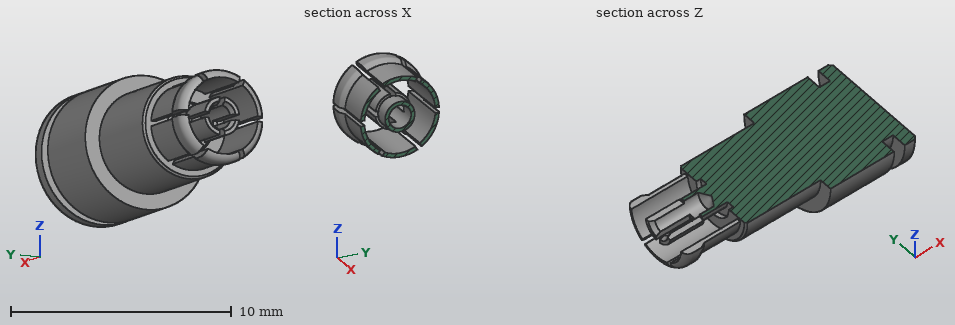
import cadquery as cq
import math


barrel_start = 3.3
barrel_radius = 2.37
barrel_chamfer = 0.1
collar_start = 7.7
collar_radius = 3.09
groove_start = 11.44
groove_end = 12.05
groove_radius = 2.25
total_length = 12.81
rear_chamfer = 0.15

sleeve_bore_radius = 1.77
sleeve_radius = 1.99
lip_front_fillet = 0.38
lip_radius = sleeve_bore_radius + lip_front_fillet
lip_flat_end = 0.83
lip_blend_radius = 0.22
lip_slope_angle = math.radians(28)
sleeve_slot_count = 6
sleeve_slot_width = 0.24

recess_radius = 1.15
recess_depth = 0.25

contact_start = 0.1
contact_slot_end = 2.09
contact_head_radius = 0.88
contact_shank_radius = 0.75
contact_bore_radius = 0.55
contact_mouth_radius = 0.69
contact_mouth_depth = 0.25
contact_bore_depth = 2.82
contact_cone_angle = math.radians(59)
contact_slot_count = 4
contact_slot_width = 0.27


def turn(profile):
    """Revolve a closed (X, radius) profile about the X axis."""
    return profile.close().revolve(360, (0, 0, 0), (1, 0, 0))


def radial_slots(count, width, start, end, reach):
    """Evenly spaced slots cut from the axis outwards, the first along +Y."""
    slots = cq.Workplane("XY")
    for index in range(count):
        slot = cq.Workplane("XY").box(end - start, reach, width, centered=(False, False, True))
        slot = slot.translate((start, 0, 0))
        slots = slots.add(slot.rotate((0, 0, 0), (1, 0, 0), index * 360 / count))
    return slots.combine()


def make_body():
    profile = (
        cq.Workplane("XY")
        .moveTo(barrel_start, 0)
        .lineTo(barrel_start, barrel_radius - barrel_chamfer)
        .lineTo(barrel_start + barrel_chamfer, barrel_radius)
        .lineTo(collar_start, barrel_radius)
        .lineTo(collar_start, collar_radius)
        .lineTo(groove_start, collar_radius)
        .lineTo(groove_start, groove_radius)
        .lineTo(groove_end, groove_radius)
        .lineTo(groove_end, collar_radius)
        .lineTo(total_length - rear_chamfer, collar_radius)
        .lineTo(total_length, collar_radius - rear_chamfer)
        .lineTo(total_length, 0)
    )
    recess = cq.Workplane("YZ", origin=(barrel_start, 0, 0)).circle(recess_radius).extrude(recess_depth)
    return turn(profile).cut(recess)


def make_sleeve():
    blend_end = lip_flat_end + lip_blend_radius * math.sin(lip_slope_angle)
    blend_end_radius = lip_radius - lip_blend_radius * (1 - math.cos(lip_slope_angle))
    slope_end = blend_end + (blend_end_radius - sleeve_radius) / math.tan(lip_slope_angle)
    profile = (
        cq.Workplane("XY")
        .moveTo(0, sleeve_bore_radius)
        .radiusArc((lip_front_fillet, lip_radius), lip_front_fillet)
        .lineTo(lip_flat_end, lip_radius)
        .radiusArc((blend_end, blend_end_radius), lip_blend_radius)
        .lineTo(slope_end, sleeve_radius)
        .lineTo(barrel_start, sleeve_radius)
        .lineTo(barrel_start, sleeve_bore_radius)
    )
    slots = radial_slots(sleeve_slot_count, sleeve_slot_width, 0, barrel_start, barrel_radius)
    return turn(profile).cut(slots)


def make_contact():
    bore_end = contact_start + contact_bore_depth
    cone_tip = bore_end + contact_bore_radius / math.tan(contact_cone_angle)
    profile = (
        cq.Workplane("XY")
        .moveTo(contact_start, contact_mouth_radius)
        .lineTo(contact_start, contact_head_radius)
        .lineTo(contact_slot_end, contact_head_radius)
        .lineTo(contact_slot_end, contact_shank_radius)
        .lineTo(barrel_start + recess_depth, contact_shank_radius)
        .lineTo(barrel_start + recess_depth, 0)
        .lineTo(cone_tip, 0)
        .lineTo(bore_end, contact_bore_radius)
        .lineTo(contact_start + contact_mouth_depth, contact_bore_radius)
    )
    slots = radial_slots(
        contact_slot_count, contact_slot_width, contact_start, contact_slot_end, sleeve_bore_radius
    )
    return turn(profile).cut(slots)


result = make_body().union(make_sleeve()).union(make_contact())